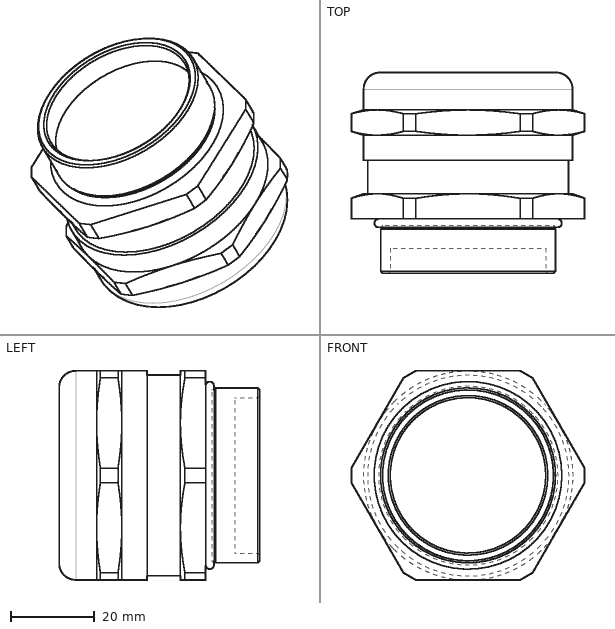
import cadquery as cq
import math

across_flats = 50.0
across_cut_corners = 55.75
flat_radius = across_flats / 2
corner_radius = across_cut_corners / 2
hexagon_length = 6.0
body_hexagon_bevel = 1.05
nut_hexagon_bevel = 0.9

neck_length = 13.0
collar_length = 7.95
skirt_length = 6.0
cap_length = 9.0

body_hexagon_start = neck_length
collar_start = body_hexagon_start + hexagon_length
nut_start = collar_start + collar_length
nut_hexagon_start = nut_start + skirt_length
cap_start = nut_hexagon_start + hexagon_length
total_length = cap_start + cap_length

neck_radius = 20.9
neck_chamfer = 0.5
collar_radius = 24.0
cap_round = 4.0

ring_tube_radius = 1.0
ring_center_radius = 21.4
groove_radius = 20.5
groove_width = 2.45
groove_chamfer = neck_radius - groove_radius

bore_radius = 18.55
bore_depth = 6.0
bore_chamfer = 0.5


def make_round_body():
    """Neck, seal groove, collar and cap nut as one turned profile about Y."""
    rim_center_radius = flat_radius - cap_round
    rim_center_y = total_length - cap_round
    arc_reach = cap_round * math.sqrt(0.5)
    groove_start = neck_length - groove_width
    return (
        cq.Workplane("XY")
        .moveTo(0, 0)
        .lineTo(neck_radius - neck_chamfer, 0)
        .lineTo(neck_radius, neck_chamfer)
        .lineTo(neck_radius, groove_start)
        .lineTo(groove_radius, groove_start + groove_chamfer)
        .lineTo(groove_radius, neck_length)
        .lineTo(collar_radius, neck_length)
        .lineTo(collar_radius, nut_start)
        .lineTo(flat_radius, nut_start)
        .lineTo(flat_radius, rim_center_y)
        .threePointArc(
            (rim_center_radius + arc_reach, rim_center_y + arc_reach),
            (rim_center_radius, total_length),
        )
        .lineTo(0, total_length)
        .close()
        .revolve(360, (0, 0, 0), (0, 1, 0))
    )


def make_hexagonal_prism(start, inner_radius, turn):
    """Hexagon along +Y; with no turn it has a corner on +X and a flat on +Z."""
    corner_diameter = 2 * inner_radius / math.cos(math.pi / 6)
    return (
        cq.Workplane("XZ", origin=(0, start, 0))
        .polygon(6, corner_diameter)
        .extrude(-hexagon_length)
        .rotate((0, 0, 0), (0, 1, 0), turn)
    )


def make_bevel_envelope(start, front_bevel, back_bevel):
    """Turned blank whose cones meet the end faces at the flats' inscribed circle."""
    blank_radius = flat_radius / math.cos(math.pi / 6)
    drop_ratio = (blank_radius - flat_radius) / (corner_radius - flat_radius)
    end = start + hexagon_length
    outline = [
        (0, start),
        (flat_radius, start),
        (blank_radius, start + front_bevel * drop_ratio),
        (blank_radius, end - back_bevel * drop_ratio),
        (flat_radius, end),
        (0, end),
    ]
    return cq.Workplane("XY").polyline(outline).close().revolve(360, (0, 0, 0), (0, 1, 0))


def make_hexagon(start, front_bevel, back_bevel):
    """Wrench hexagon with corners cut flat and bevelled end faces."""
    prism = make_hexagonal_prism(start, flat_radius, 0)
    corner_cutter = make_hexagonal_prism(start, corner_radius, 30)
    bevel_envelope = make_bevel_envelope(start, front_bevel, back_bevel)
    return prism.intersect(corner_cutter).intersect(bevel_envelope)


def make_sealing_ring():
    """Round-section ring, filled solid to the axis on the side against the hexagon."""
    center_y = neck_length - ring_tube_radius
    arc_reach = ring_tube_radius * math.sqrt(0.5)
    return (
        cq.Workplane("XY")
        .moveTo(0, neck_length)
        .lineTo(ring_center_radius, neck_length)
        .threePointArc(
            (ring_center_radius + arc_reach, center_y - arc_reach),
            (ring_center_radius - ring_tube_radius, center_y),
        )
        .lineTo(0, center_y)
        .close()
        .revolve(360, (0, 0, 0), (0, 1, 0))
    )


def make_bore():
    """Blind round bore with a chamfered mouth."""
    return (
        cq.Workplane("XY")
        .moveTo(0, 0)
        .lineTo(bore_radius + bore_chamfer, 0)
        .lineTo(bore_radius, bore_chamfer)
        .lineTo(bore_radius, bore_depth)
        .lineTo(0, bore_depth)
        .close()
        .revolve(360, (0, 0, 0), (0, 1, 0))
    )


body_hexagon = make_hexagon(body_hexagon_start, 0, body_hexagon_bevel)
nut_hexagon = make_hexagon(nut_hexagon_start, nut_hexagon_bevel, nut_hexagon_bevel)

result = (
    make_round_body()
    .union(body_hexagon)
    .union(nut_hexagon)
    .union(make_sealing_ring())
    .cut(make_bore())
)